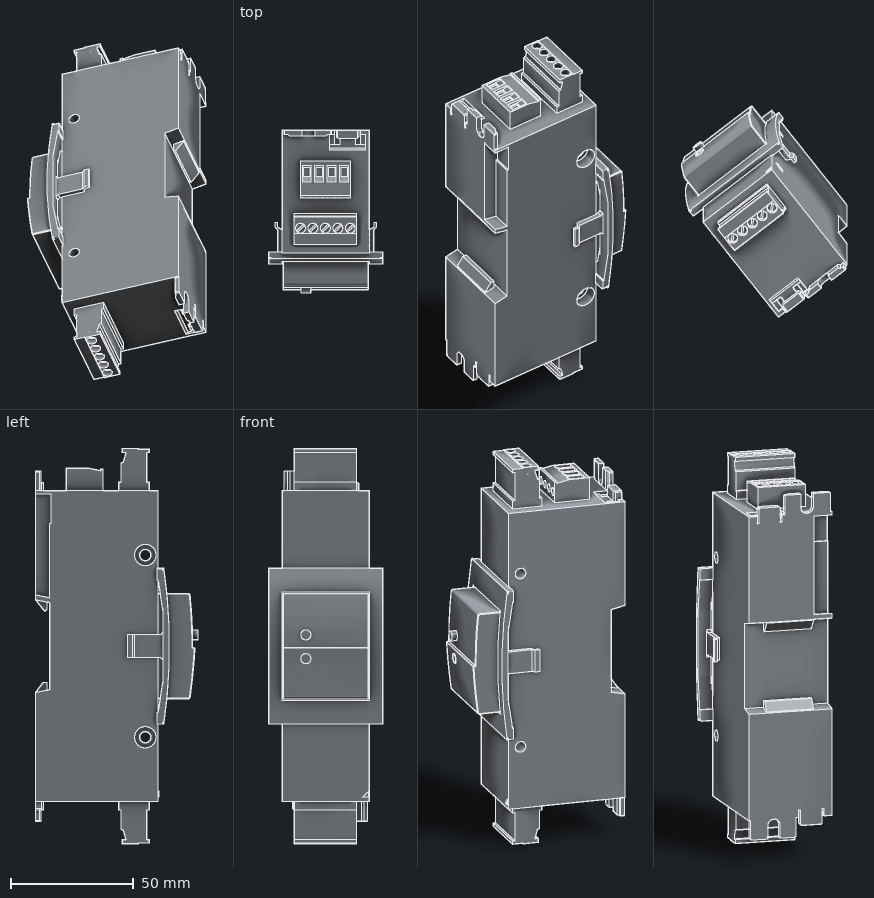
import cadquery as cq


body_half_width = 17.75
body_depth = 50.0
body_half_height = 63.3

channel_floor_y = 44.15
channel_top_z = 18.9
channel_bottom_z = -18.9
channel_slope = 1.2
hook_half_width = 10.0
hook_back_y = 49.6
hook_nose_y = 46.8
hook_front_y = 45.2
hook_nose_bevel = 0.7
hook_root = 0.4
hook_upper_tip_z = 14.2
hook_lower_tip_z = -14.7

back_space_end_x = -10.0
back_space_deep_y = 43.5
back_space_step_z = 49.9
ledge_thickness = 2.0
top_wall = 1.35

mount_hole_y = 5.2
mount_hole_z = 37.1
mount_hole_diameter = 4.5
mount_counterbore_diameter = 8.7
mount_counterbore_depth = 4.8

frame_half_width = 23.25
frame_half_height = 31.8
frame_back_y = 0.45
frame_edge_y = -2.35
frame_crown_y = -4.65
frame_skin = 0.55
frame_corner = 1.0
frame_relief_half_height = 27.0
frame_relief_flat_half_height = 14.0
frame_relief_y = -2.0
opening_half_width = 17.75
opening_half_height = 22.1

clip_outer_x = 19.6
clip_half_height = 4.65
clip_shoulder_y = 9.5
clip_bend_y = 10.5
clip_tip_y = 12.45
clip_tip_x = 20.7
clip_leg = 1.1
clip_root_flare = 1.0
backing_half_height = 22.0
backing_half_width = 16.5

button_half_width = 17.5
button_half_height = 21.45
button_edge_y = -13.0
button_edge_fillet = 0.9
button_side_chamfer = 0.3
button_upper_mid_y = -13.85
button_upper_end_y = -14.1
button_lower_start_y = -15.05
button_lower_mid_y = -14.25
button_step_top_z = -0.45
button_step_bottom_z = -0.85

indicator_x = -8.1
indicator_radius = 2.05
pin_z = 4.6
pin_front_y = -16.37
window_z = -5.1
window_depth = 0.2

terminal_centre_x = -0.15

pole_pitch = 5.08
screw_poles = 5
screw_block_half_width = 12.68
screw_block_top_z = 80.5
screw_block_front_drop = 0.3
screw_block_back_y = 15.1
screw_block_front_y = 4.5
screw_block_foot = 1.0
screw_block_foot_top_z = 66.8
screw_block_lip_z = 78.8
screw_block_lip_back_y = 14.6
screw_block_step_y = 8.0
screw_block_neck_y = 13.2
screw_block_neck_bottom_z = 78.4
screw_block_shoulder_y = 14.2
screw_block_shoulder_z = 75.0
screw_block_back_top_z = 74.6
screw_y = 10.1
screw_radius = 2.0
screw_recess = 3.0
screw_slot_length = 3.6
screw_slot_width = 0.7
screw_slot_angle = 45.0
screw_slot_depth = 0.5

spring_poles = 4
spring_block_half_width = 10.15
spring_block_back_y = 37.4
spring_block_front_y = 22.4
spring_block_top_z = 72.5
spring_block_front_z = 71.5
spring_block_lip_z = 72.1
spring_block_slope_back_y = 28.2
spring_block_slope_front_y = 23.4
lever_width = 3.6
lever_well_width = 2.7
lever_back_y = 35.6
lever_well_back_y = 34.7
lever_well_front_y = 31.1
lever_front_y = 28.8
lever_depth = 1.2
lever_front_depth = 0.5
lever_well_depth = 2.0
wire_hole_radius = 1.6
wire_hole_depth = 3.0
wire_hole_z = 67.3

post_outer_x = -17.1
post_inner_x = 2.4
post_front_y = 47.6
post_ear_y = 48.3
post_ear_width = 1.5
post_slope_width = 1.0
post_top_chamfer = 0.4
post_top_z = 71.4
post_notch_x = -7.05
post_notch_radius = 2.65

latch_centre_x = 8.9
latch_width = 14.7
latch_front_y = 41.9
latch_slope_y = 42.8
latch_back_y = 48.2
latch_depth = 1.0
latch_step = 0.5
latch_notch_width = 10.6
latch_notch_front_y = 44.1
latch_notch_depth = 3.0
tongue_width = 9.2
tongue_front_y = 46.6
tongue_top_z = 66.7
tongue_chamfer = 0.8
tongue_top_chamfer = 0.5
tongue_step_width = 6.3

mark_size = 2.5
mark_bottom_z = -61.5
mark_x = 17.5
mark_height = 0.4

overlap = 0.5


def box(x0, x1, y0, y1, z0, z1):
    """Box between the given limits."""
    return cq.Workplane("XY").box(x1 - x0, y1 - y0, z1 - z0, centered=False).translate((x0, y0, z0))


def extrude_x(profile, x0, x1):
    """Extrude a closed (Y, Z) profile from x0 to x1."""
    return profile.extrude(x1 - x0).translate((x0, 0, 0))


def side_polygon(points, x0, x1):
    """Prism along X with a polygonal (Y, Z) section."""
    return extrude_x(cq.Workplane("YZ").polyline(points).close(), x0, x1)


def front_cylinder(x, z, radius, y0, y1):
    """Cylinder along Y from y0 to y1."""
    return cq.Workplane("XZ").center(x, z).circle(radius).extrude(y0 - y1).translate((0, y0, 0))


def pole_positions(count):
    """X positions of evenly pitched poles centred on X = 0."""
    return [(i - (count - 1) / 2) * pole_pitch for i in range(count)]


def turned_over(shape):
    """The shape turned half a turn about the Y axis, for the opposite end."""
    return shape.rotate((0, 0, 0), (0, 1, 0), 180)


def make_housing():
    """Housing block with the rail channel, the open space above it and the mounting holes."""
    housing = box(
        -body_half_width, body_half_width, 0, body_depth, -body_half_height, body_half_height
    )
    channel = [
        (channel_floor_y, channel_top_z - channel_slope),
        (body_depth, channel_top_z),
        (body_depth, channel_bottom_z),
        (channel_floor_y, channel_bottom_z + channel_slope),
    ]
    housing = housing.cut(side_polygon(channel, -body_half_width, body_half_width))
    back_space = [
        (body_depth, body_half_height - top_wall),
        (back_space_deep_y, body_half_height - top_wall),
        (back_space_deep_y, back_space_step_z),
        (channel_floor_y, back_space_step_z),
        (channel_floor_y, channel_top_z - channel_slope + ledge_thickness),
        (body_depth, channel_top_z + ledge_thickness),
    ]
    housing = housing.cut(side_polygon(back_space, -body_half_width, back_space_end_x))
    for z in (-mount_hole_z, mount_hole_z):
        centre = cq.Workplane("YZ").center(mount_hole_y, z)
        bore = extrude_x(centre.circle(mount_hole_diameter / 2), -body_half_width, body_half_width)
        counterbore = extrude_x(
            centre.circle(mount_counterbore_diameter / 2),
            -body_half_width,
            -body_half_width + mount_counterbore_depth,
        )
        housing = housing.cut(bore).cut(counterbore)
    return housing


def make_rail_hooks():
    """Hooks that reach into the rail channel from above and below."""
    upper = [
        (hook_back_y, channel_top_z + overlap),
        (hook_back_y, channel_top_z - hook_root),
        (hook_nose_y, hook_upper_tip_z + hook_nose_bevel),
        (hook_nose_y - hook_nose_bevel, hook_upper_tip_z),
        (hook_front_y, hook_upper_tip_z + hook_nose_bevel),
        (hook_front_y, channel_top_z + overlap),
    ]
    lower = [
        (hook_back_y, channel_bottom_z - overlap),
        (hook_back_y, channel_bottom_z + hook_root),
        (hook_nose_y, hook_lower_tip_z),
        (hook_front_y, hook_lower_tip_z),
        (hook_front_y, channel_bottom_z - overlap),
    ]
    hooks = side_polygon(upper, -hook_half_width, hook_half_width)
    return hooks.union(side_polygon(lower, -hook_half_width, hook_half_width))


def bowed_plate(front_shift):
    """Full-size plate with a bowed front; front_shift moves the bow back."""
    profile = (
        cq.Workplane("YZ")
        .moveTo(frame_back_y, -frame_half_height)
        .lineTo(frame_edge_y + front_shift, -frame_half_height)
        .threePointArc(
            (frame_crown_y + front_shift, 0), (frame_edge_y + front_shift, frame_half_height)
        )
        .lineTo(frame_back_y, frame_half_height)
        .close()
    )
    return extrude_x(profile, -frame_half_width, frame_half_width)


def make_frame():
    """Bowed frame: a square-cornered skin over a plate with rounded corners and a hollow back."""
    core = bowed_plate(frame_skin)
    skin = bowed_plate(0).cut(core)
    frame = skin.union(core.edges("|Y").fillet(frame_corner))
    relief = [
        (frame_back_y, frame_relief_half_height),
        (0, frame_relief_half_height),
        (frame_relief_y, frame_relief_flat_half_height),
        (frame_relief_y, -frame_relief_flat_half_height),
        (0, -frame_relief_half_height),
        (frame_back_y, -frame_relief_half_height),
    ]
    frame = frame.cut(side_polygon(relief, -frame_half_width, frame_half_width))
    opening = box(
        -opening_half_width,
        opening_half_width,
        frame_crown_y,
        frame_relief_y,
        -opening_half_height,
        opening_half_height,
    )
    return frame.cut(opening)


def make_clips():
    """Backing plate between frame and housing, with a hooked clip arm on each side."""
    backing = [
        (overlap, backing_half_height),
        (0, backing_half_height),
        (frame_relief_y, frame_relief_flat_half_height),
        (frame_relief_y, -frame_relief_flat_half_height),
        (0, -backing_half_height),
        (overlap, -backing_half_height),
    ]
    plate = side_polygon(backing, -backing_half_width, backing_half_width)
    inner_x = backing_half_width - overlap
    arm_points = [
        (inner_x, frame_relief_y),
        (clip_outer_x, frame_relief_y),
        (clip_outer_x, clip_shoulder_y),
        (clip_tip_x, clip_bend_y),
        (clip_tip_x, clip_tip_y),
        (clip_tip_x - clip_leg, clip_tip_y),
        (clip_tip_x - clip_leg, clip_bend_y),
        (body_half_width, clip_shoulder_y),
        (inner_x, clip_shoulder_y),
    ]
    arm = (
        cq.Workplane("XY")
        .polyline(arm_points)
        .close()
        .extrude(2 * clip_half_height)
        .translate((0, 0, -clip_half_height))
    )
    flare_half_height = clip_half_height + clip_root_flare
    root = [
        (frame_relief_y, flare_half_height),
        (frame_relief_y + clip_root_flare, clip_half_height),
        (frame_relief_y + clip_root_flare, -clip_half_height),
        (frame_relief_y, -flare_half_height),
    ]
    arm = arm.union(side_polygon(root, inner_x, clip_outer_x))
    return plate.union(arm).union(arm.mirror("YZ"))


def make_button():
    """Rocker-shaped button with two bowed halves, an indicator pin and an indicator window."""
    profile = (
        cq.Workplane("YZ")
        .moveTo(overlap, button_half_height)
        .lineTo(button_edge_y, button_half_height)
        .threePointArc(
            (button_upper_mid_y, (button_half_height + button_step_top_z) / 2),
            (button_upper_end_y, button_step_top_z),
        )
        .lineTo(button_lower_start_y, button_step_bottom_z)
        .threePointArc(
            (button_lower_mid_y, (button_step_bottom_z - button_half_height) / 2),
            (button_edge_y, -button_half_height),
        )
        .lineTo(overlap, -button_half_height)
        .close()
    )
    button = extrude_x(profile, -button_half_width, button_half_width)
    for z in (-button_half_height, button_half_height):
        corner = cq.selectors.NearestToPointSelector((0, button_edge_y, z))
        button = button.edges(corner).fillet(button_edge_fillet)
    button = button.faces("<X or >X").edges("not >Y").chamfer(button_side_chamfer)
    window = front_cylinder(
        indicator_x, window_z, indicator_radius, button_lower_start_y, button_lower_mid_y
    )
    front_bite = button.translate((0, window_depth, 0))
    button = button.cut(window.cut(front_bite))
    return button.union(front_cylinder(indicator_x, pin_z, indicator_radius, pin_front_y, 0))


def make_screw_terminal():
    """Five-pole plug at the top end with slotted screws sunk in its upper face."""
    profile = [
        (screw_block_back_y + screw_block_foot, body_half_height - overlap),
        (screw_block_back_y + screw_block_foot, screw_block_foot_top_z),
        (screw_block_back_y, screw_block_foot_top_z),
        (screw_block_back_y, screw_block_back_top_z),
        (screw_block_shoulder_y, screw_block_shoulder_z),
        (screw_block_neck_y, screw_block_neck_bottom_z),
        (screw_block_neck_y, screw_block_lip_z),
        (screw_block_lip_back_y, screw_block_lip_z),
        (screw_block_lip_back_y, screw_block_top_z),
        (screw_block_step_y, screw_block_top_z),
        (screw_block_step_y, screw_block_top_z - screw_block_front_drop),
        (screw_block_front_y - screw_block_foot, screw_block_top_z - screw_block_front_drop),
        (screw_block_front_y - screw_block_foot, screw_block_lip_z),
        (screw_block_front_y, screw_block_lip_z),
        (screw_block_front_y, screw_block_foot_top_z),
        (screw_block_front_y - screw_block_foot, screw_block_foot_top_z),
        (screw_block_front_y - screw_block_foot, body_half_height - overlap),
    ]
    block = side_polygon(profile, -screw_block_half_width, screw_block_half_width)
    for x in pole_positions(screw_poles):
        top = cq.Workplane("XY").workplane(offset=screw_block_top_z - screw_recess)
        recess = top.center(x, screw_y).circle(screw_radius).extrude(screw_recess)
        slot = (
            cq.Workplane("XY")
            .box(screw_slot_length, screw_slot_width, screw_slot_depth)
            .rotate((0, 0, 0), (0, 0, 1), screw_slot_angle)
            .translate((x, screw_y, screw_block_top_z - screw_recess - screw_slot_depth / 2))
        )
        block = block.cut(recess).cut(slot)
    return block


def make_spring_terminal():
    """Four-pole plug with a lever recess and a wire hole for each pole."""
    profile = [
        (spring_block_back_y, body_half_height - overlap),
        (spring_block_back_y, spring_block_top_z),
        (spring_block_slope_back_y, spring_block_top_z),
        (spring_block_slope_front_y, spring_block_front_z),
        (spring_block_slope_front_y, spring_block_lip_z),
        (spring_block_front_y, spring_block_lip_z),
        (spring_block_front_y, body_half_height - overlap),
    ]
    block = side_polygon(profile, -spring_block_half_width, spring_block_half_width)
    floor_z = spring_block_top_z - lever_depth
    recess = [
        (lever_back_y, spring_block_top_z),
        (lever_back_y, floor_z),
        (lever_well_front_y, floor_z),
        (lever_front_y, spring_block_top_z - lever_front_depth),
        (lever_front_y, spring_block_top_z),
    ]
    for x in pole_positions(spring_poles):
        block = block.cut(side_polygon(recess, x - lever_width / 2, x + lever_width / 2))
        well = box(
            x - lever_well_width / 2,
            x + lever_well_width / 2,
            lever_well_front_y,
            lever_well_back_y,
            spring_block_top_z - lever_well_depth,
            floor_z,
        )
        wire_hole = front_cylinder(
            x,
            wire_hole_z,
            wire_hole_radius,
            spring_block_front_y,
            spring_block_front_y + wire_hole_depth,
        )
        block = block.cut(well).cut(wire_hole)
    return block


def make_posts():
    """Pair of foot posts at the top end, parted by a round-bottomed notch."""
    outline = [
        (post_outer_x, body_depth),
        (post_outer_x, post_ear_y),
        (post_outer_x + post_ear_width, post_ear_y),
        (post_outer_x + post_ear_width + post_slope_width, post_front_y),
        (post_inner_x - post_ear_width - post_slope_width, post_front_y),
        (post_inner_x - post_ear_width, post_ear_y),
        (post_inner_x, post_ear_y),
        (post_inner_x, body_depth),
    ]
    foot_z = body_half_height - overlap
    posts = cq.Workplane("XY").polyline(outline).close().extrude(post_top_z - foot_z)
    posts = posts.translate((0, 0, foot_z))
    for x in (post_outer_x, post_inner_x):
        top_corner = cq.selectors.NearestToPointSelector(
            (x, (body_depth + post_ear_y) / 2, post_top_z)
        )
        posts = posts.edges(top_corner).chamfer(post_top_chamfer)
    notch_centre_z = body_half_height + post_notch_radius
    posts = posts.cut(
        front_cylinder(post_notch_x, notch_centre_z, post_notch_radius, post_front_y, body_depth)
    )
    return posts.cut(
        box(
            post_notch_x - post_notch_radius,
            post_notch_x + post_notch_radius,
            post_front_y,
            body_depth,
            notch_centre_z,
            post_top_z,
        )
    )


def make_latch_recess():
    """Space cut into the top end around the latch tongue."""
    floor_z = body_half_height - latch_depth
    recess = [
        (latch_back_y, body_half_height),
        (latch_back_y, floor_z - latch_step),
        (latch_notch_front_y, floor_z - latch_step),
        (latch_notch_front_y, floor_z),
        (latch_slope_y, floor_z),
        (latch_front_y, body_half_height),
    ]
    half_width = latch_width / 2
    space = side_polygon(recess, latch_centre_x - half_width, latch_centre_x + half_width)
    notch = box(
        latch_centre_x - latch_notch_width / 2,
        latch_centre_x + latch_notch_width / 2,
        latch_notch_front_y,
        body_depth,
        body_half_height - latch_notch_depth,
        body_half_height,
    )
    return space.union(notch)


def make_latch_tongue():
    """Latch tongue that stands in the notch of the latch recess."""
    foot_z = body_half_height - latch_notch_depth - overlap
    half_width = tongue_width / 2
    tongue = box(
        latch_centre_x - half_width,
        latch_centre_x + half_width,
        tongue_front_y,
        body_depth,
        foot_z,
        tongue_top_z,
    )
    tongue = tongue.edges("|Z and <Y").chamfer(tongue_chamfer)
    tongue = tongue.edges(">Z and (<X or >X)").chamfer(tongue_top_chamfer)
    step = box(
        latch_centre_x - tongue_step_width / 2,
        latch_centre_x + tongue_step_width / 2,
        latch_notch_front_y - overlap,
        tongue_front_y + overlap,
        foot_z,
        body_half_height - latch_depth,
    )
    return tongue.union(step)


def make_corner_mark():
    """Raised triangle in the lower corner of the housing front."""
    points = [
        (mark_x, mark_bottom_z),
        (mark_x, mark_bottom_z + mark_size),
        (mark_x - mark_size, mark_bottom_z),
    ]
    mark = cq.Workplane("XZ").polyline(points).close().extrude(mark_height + overlap)
    return mark.translate((0, overlap, 0))


end_recess = make_latch_recess()
end_parts = make_posts().union(make_latch_tongue())
screw_terminal = make_screw_terminal()
terminals = screw_terminal.union(turned_over(screw_terminal)).union(make_spring_terminal())

result = make_housing().cut(end_recess).cut(turned_over(end_recess))
for piece in (
    make_rail_hooks(),
    make_clips(),
    make_frame(),
    make_button(),
    terminals.translate((terminal_centre_x, 0, 0)),
    make_corner_mark(),
    end_parts,
    turned_over(end_parts),
):
    result = result.union(piece)